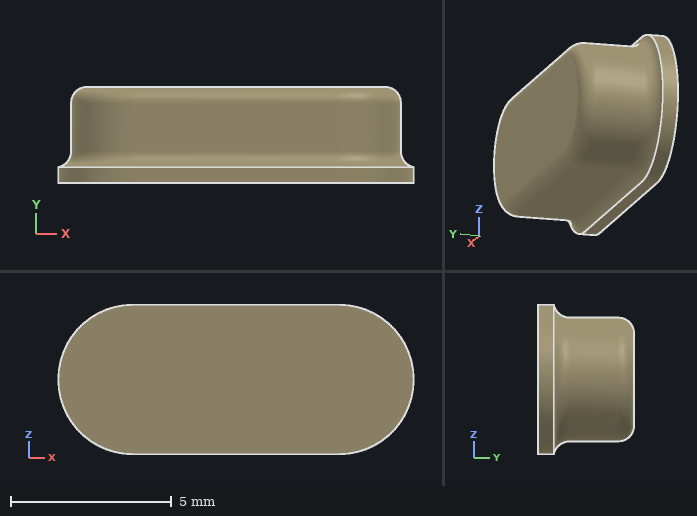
import cadquery as cq
import math

length = 11.05
flange_height = 4.65
depth = 3.0

flange_thickness = 0.5
flange_overhang = 0.4
neck_radius = 0.5
crown_radius = 0.5

straight_length = length - flange_height
flange_radius = flange_height / 2
body_radius = flange_radius - flange_overhang

neck_rise = math.sqrt(neck_radius**2 - (neck_radius - flange_overhang) ** 2)
neck_end = flange_thickness + neck_rise
neck_mid_angle = (math.pi + math.acos((flange_overhang - neck_radius) / neck_radius)) / 2
neck_center_radius = body_radius + neck_radius
neck_mid = (
    neck_center_radius + neck_radius * math.cos(neck_mid_angle),
    neck_end - neck_radius * math.sin(neck_mid_angle),
)
crown_mid = (
    body_radius - crown_radius * (1 - math.cos(math.pi / 4)),
    depth - crown_radius * (1 - math.sin(math.pi / 4)),
)


def half_profile():
    """Section from the centre line out to the rim: radius across, depth along Y."""
    return (
        cq.Workplane("XY")
        .lineTo(flange_radius, 0)
        .lineTo(flange_radius, flange_thickness)
        .threePointArc(neck_mid, (body_radius, neck_end))
        .lineTo(body_radius, depth - crown_radius)
        .threePointArc(crown_mid, (body_radius - crown_radius, depth))
        .lineTo(0, depth)
        .close()
    )


def round_end(x):
    return half_profile().revolve(360, (0, 0, 0), (0, 1, 0)).translate((x, 0, 0))


def straight_middle():
    """The same section on both sides of the centre, run along X."""
    upper = (
        half_profile()
        .extrude(straight_length)
        .rotate((0, 0, 0), (0, 1, 0), -90)
        .translate((straight_length / 2, 0, 0))
    )
    return upper.union(upper.mirror("XY"))


result = straight_middle()
for end_x in (-straight_length / 2, straight_length / 2):
    result = result.union(round_end(end_x))
result = result.clean()